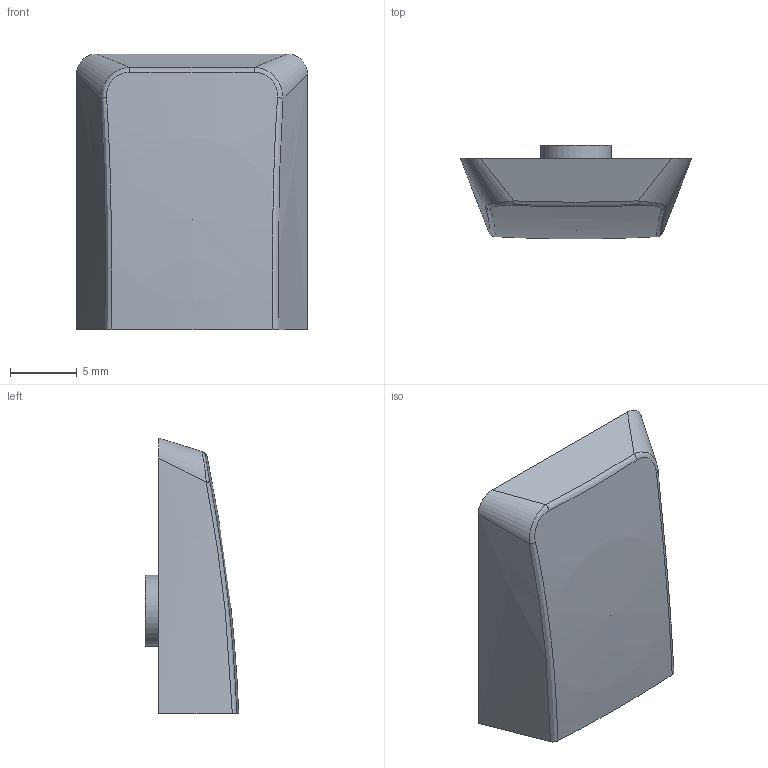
import cadquery as cq
import math

base_width = 17.3
base_height = 20.65
base_corner_radius = 1.5

outer_bottom_width = 12.16
outer_top_width = 12.5
outer_top_z = 19.27
outer_corner_radius = 2.5
outer_bottom_depth = 6.6
outer_top_depth = 4.4

dome_radius = 115.0
dome_pole_z = 8.28
dome_pole_depth = 5.38
dome_tilt = math.radians(6.3)
edge_fillet_radius = 0.5
bottom_tolerance = 1e-3

pin_diameter = 5.3
pin_length = 1.0
pin_center_z = 7.73


def rounded_top_outline(bottom_width, top_width, height, corner_radius, bottom_depth, top_depth):
    """Closed four-sided wire whose two upper corners are rounded."""
    lower_left = cq.Vector(-bottom_width / 2, -bottom_depth, 0)
    lower_right = cq.Vector(bottom_width / 2, -bottom_depth, 0)
    upper_right = cq.Vector(top_width / 2, -top_depth, height)
    upper_left = cq.Vector(-top_width / 2, -top_depth, height)
    corners = [lower_left, lower_right, upper_right, upper_left]
    outline = cq.Wire.makePolygon(corners, close=True)
    upper_vertices = [v for v in outline.Vertices() if v.Z > height / 2]
    return outline.fillet2D(corner_radius, upper_vertices)


def make_tapered_body():
    base = rounded_top_outline(base_width, base_width, base_height, base_corner_radius, 0, 0)
    outer = rounded_top_outline(
        outer_bottom_width,
        outer_top_width,
        outer_top_z,
        outer_corner_radius,
        outer_bottom_depth,
        outer_top_depth,
    )
    return cq.Workplane(cq.Solid.makeLoft([base, outer], True))


def make_dome():
    """Sphere whose axis passes through the dome pole, tilted up from -Y."""
    axis = cq.Vector(0, -math.cos(dome_tilt), math.sin(dome_tilt))
    center = cq.Vector(0, -dome_pole_depth, dome_pole_z) - axis * dome_radius
    ball = cq.Solid.makeSphere(dome_radius, center, axis, -90, 90, 360)
    return cq.Workplane(ball)


def make_pin():
    return (
        cq.Workplane("XZ")
        .center(0, pin_center_z)
        .circle(pin_diameter / 2)
        .extrude(-pin_length)
    )


def round_front_edges(body):
    """Fillet the dome edge, leaving its flat bottom edge sharp."""
    front_face = body.faces("%SPHERE")
    front_edges = [e for e in front_face.edges().vals() if e.Center().z > bottom_tolerance]
    return body.newObject(front_edges).fillet(edge_fillet_radius)


body = make_tapered_body().intersect(make_dome())
result = round_front_edges(body).union(make_pin())